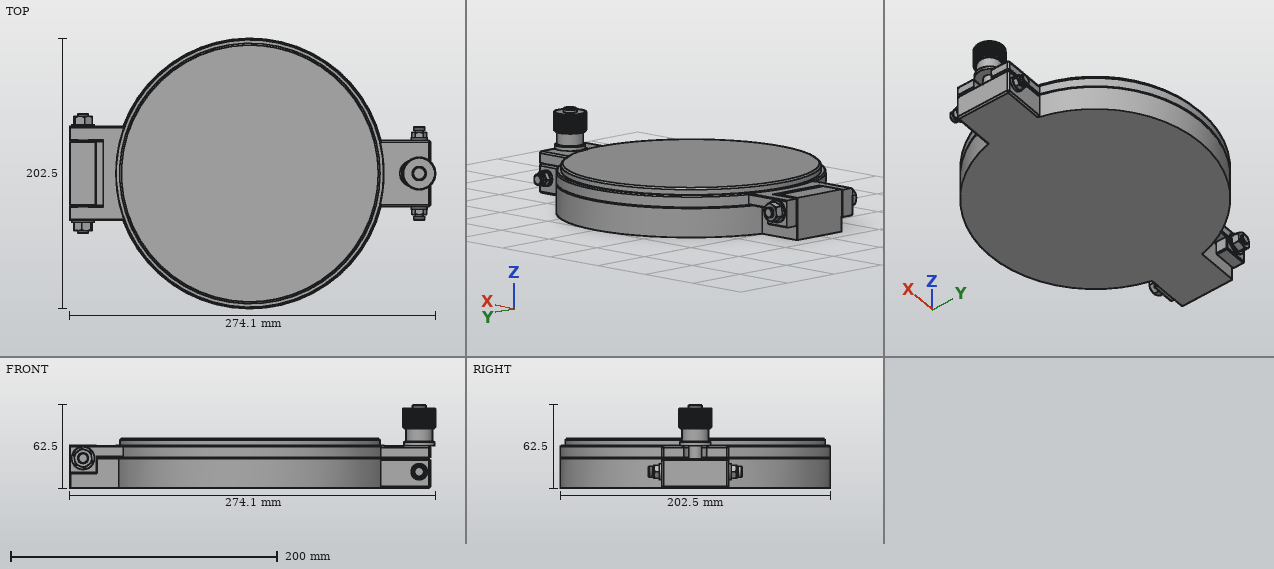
import cadquery as cq
import math

BODY_DIAMETER = 202.5
BODY_RADIUS = BODY_DIAMETER / 2
BODY_TOP = 22.2
SEAL_GAP = 0.8
SEAL_INSET = 1.0
LID_BOTTOM = BODY_TOP + SEAL_GAP
LID_TOP = 31.8
LID_CROWN = 0.3
PLATE_DIAMETER = 195.0
PLATE_TOP = 37.3
PLATE_CHAMFER = 1.5
EDGE_CHAMFER = 1.0

HINGE_END_X = -134.8
HINGE_TOWER_LENGTH = 19.7
HINGE_TOWER_WIDTH = 48.2
HINGE_TOWER_TOP = 32.3
HINGE_ARM_WIDTH = 70.5
HINGE_SLOT_WIDTH = 50.0
HINGE_SLOT_LENGTH = 25.0
EAR_LENGTH = 20.5
EAR_BOTTOM = 11.0
EAR_CHAMFER = 0.8
TOWER_CHAMFER = 0.5
HINGE_PIN_X = -125.0
HINGE_PIN_Z = 22.5
HINGE_PIN_DIAMETER = 8.0
HINGE_WASHER_DIAMETER = 17.0
HINGE_NUT_CORNERS = 14.8
HINGE_NUT_TURN = 39.0

LATCH_END_X = 135.4
LATCH_WIDTH = 50.0
LATCH_CHAMFER = 1.5
LATCH_X = 126.9
LATCH_PIN_Z = 12.3
LATCH_WASHER_DIAMETER = 12.0
LATCH_NUT_CORNERS = 11.5
LATCH_PIN_NECK_DIAMETER = 6.0
LATCH_PIN_TIP_DIAMETER = 8.5
BOLT_SLOT_WIDTH = 17.0
BOLT_SLOT_END_X = 122.2

SWING_BOLT_DIAMETER = 10.0
FLANGE_DIAMETER = 23.0
FLANGE_RIM_TOP = 34.5
FLANGE_TOP = 35.3
COLLAR_DIAMETER = 20.0
KNOB_DIAMETER = 24.7
KNOB_BOTTOM = 44.7
KNOB_TOP = 59.7
KNOB_CHAMFER = 1.5
KNURL_TEETH = 72
KNURL_DEPTH = 0.5
BUTTON_DIAMETER = 10.5
BUTTON_TOP = 62.5

HINGE_WASHER_THICKNESS = 1.5
LATCH_WASHER_THICKNESS = 2.0
HINGE_NUT_THICKNESS = 6.3
HINGE_PIN_PROTRUSION = 2.0
LATCH_NUT_THICKNESS = 4.0
LATCH_NECK_LENGTH = 1.5
LATCH_TIP_LENGTH = 2.7
PIN_CHAMFER = 0.8
HINGE_PIN_CHAMFER = 0.5


def block(x_start, x_end, width, z_bottom, z_top):
    """Box centred on Y = 0."""
    length = x_end - x_start
    return (
        cq.Workplane("XY", origin=(x_start + length / 2, 0, z_bottom))
        .box(length, width, z_top - z_bottom, centered=(True, True, False))
    )


def disc(radius, z_bottom, z_top, x=0):
    """Upright cylinder centred on the X axis."""
    return cq.Workplane("XY", origin=(x, 0, z_bottom)).circle(radius).extrude(z_top - z_bottom)


def rod(diameter, y_start, length):
    """Cylinder along +Y, centred on the Y axis."""
    return cq.Workplane("XZ", origin=(0, y_start, 0)).circle(diameter / 2).extrude(-length)


def hex_nut(corners, y_start, length, turn=0):
    """Hexagon along +Y with its outer corners bevelled; at zero turn a corner points along X."""
    nut = (
        cq.Workplane("XZ", origin=(0, y_start, 0))
        .polygon(6, corners)
        .extrude(-length)
        .rotate((0, 0, 0), (0, 1, 0), turn)
    )
    bevel = rod(corners, y_start, length).faces(">Y").chamfer(PIN_CHAMFER)
    return nut.intersect(bevel)


def both_ends(hardware, x, z):
    """Hardware on the +Y end of a pin, and the same turned half round Z on the -Y end."""
    return hardware.union(hardware.rotate((0, 0, 0), (0, 0, 1), 180)).translate((x, 0, z))


def housing():
    seal_core = disc(BODY_RADIUS - SEAL_INSET, 0, LID_TOP)
    body = disc(BODY_RADIUS, 0, BODY_TOP)
    lid = disc(BODY_RADIUS, LID_BOTTOM, LID_TOP + LID_CROWN).faces(">Z").edges().chamfer(EDGE_CHAMFER)
    plate = disc(PLATE_DIAMETER / 2, LID_TOP, PLATE_TOP).faces(">Z").edges().chamfer(PLATE_CHAMFER)
    return seal_core.union(body).union(lid).union(plate)


def hinge():
    tower_end = HINGE_END_X + HINGE_TOWER_LENGTH
    base = block(tower_end, 0, HINGE_TOWER_WIDTH, 0, BODY_TOP)
    tower = block(HINGE_END_X, tower_end, HINGE_TOWER_WIDTH, 0, HINGE_TOWER_TOP)
    tower = tower.edges("(|X and >Z) or (>X and >Z) or (|Z and <X)").chamfer(TOWER_CHAMFER)

    arm = block(HINGE_END_X, 0, HINGE_ARM_WIDTH, LID_BOTTOM, LID_TOP)
    ears = block(HINGE_END_X, HINGE_END_X + EAR_LENGTH, HINGE_ARM_WIDTH, EAR_BOTTOM, LID_TOP)
    ears = ears.edges("|Y and >X and <Z").chamfer(EAR_CHAMFER)
    slot = block(HINGE_END_X, HINGE_END_X + HINGE_SLOT_LENGTH, HINGE_SLOT_WIDTH, 0, LID_TOP)
    arm = arm.union(ears).faces(">Y or <Y").edges("not <X").chamfer(EAR_CHAMFER).cut(slot)

    ear_face = HINGE_ARM_WIDTH / 2
    nut_start = ear_face + HINGE_WASHER_THICKNESS
    pin_end = nut_start + HINGE_NUT_THICKNESS + HINGE_PIN_PROTRUSION
    hardware = (
        rod(HINGE_PIN_DIAMETER, 0, pin_end).faces(">Y").chamfer(HINGE_PIN_CHAMFER)
        .union(rod(HINGE_WASHER_DIAMETER, ear_face, HINGE_WASHER_THICKNESS))
        .union(hex_nut(HINGE_NUT_CORNERS, nut_start, HINGE_NUT_THICKNESS, HINGE_NUT_TURN))
    )
    nuts = both_ends(hardware, HINGE_PIN_X, HINGE_PIN_Z)
    return base.union(tower).union(arm).union(nuts)


def slot_outline(z):
    """Round-ended slot for the swing bolt, running out past the end of the latch."""
    half_width = BOLT_SLOT_WIDTH / 2
    open_end = LATCH_END_X + half_width
    return (
        cq.Workplane("XY", origin=(0, 0, z))
        .moveTo(open_end, -half_width)
        .lineTo(open_end, half_width)
        .lineTo(BOLT_SLOT_END_X, half_width)
        .threePointArc((BOLT_SLOT_END_X - half_width, 0), (BOLT_SLOT_END_X, -half_width))
        .close()
    )


def latch():
    lower = block(0, LATCH_END_X, LATCH_WIDTH, 0, BODY_TOP)
    upper = block(0, LATCH_END_X, LATCH_WIDTH, LID_BOTTOM, LID_TOP)
    lower = lower.edges("|X or >X").chamfer(LATCH_CHAMFER)
    upper = upper.edges("(|X and >Z) or (>X and (not <Z))").chamfer(LATCH_CHAMFER)
    bolt_slot = slot_outline(LID_BOTTOM).extrude(LID_TOP - LID_BOTTOM)
    slot_mouth = slot_outline(LID_TOP - LATCH_CHAMFER).extrude(LATCH_CHAMFER, taper=-45)
    upper = upper.cut(bolt_slot).cut(slot_mouth)

    nut_start = LATCH_WIDTH / 2 + LATCH_WASHER_THICKNESS
    neck_start = nut_start + LATCH_NUT_THICKNESS
    tip_start = neck_start + LATCH_NECK_LENGTH
    hardware = (
        rod(LATCH_WASHER_DIAMETER, LATCH_WIDTH / 2, LATCH_WASHER_THICKNESS)
        .union(hex_nut(LATCH_NUT_CORNERS, nut_start, LATCH_NUT_THICKNESS))
        .union(rod(LATCH_PIN_NECK_DIAMETER, neck_start, LATCH_NECK_LENGTH))
        .union(rod(LATCH_PIN_TIP_DIAMETER, tip_start, LATCH_TIP_LENGTH).faces(">Y").chamfer(PIN_CHAMFER))
    )
    nuts = both_ends(hardware, LATCH_X, LATCH_PIN_Z)
    return lower.union(upper).union(nuts)


def knurled_grip():
    """Straight-knurled cylinder with bevelled ends."""
    crest = KNOB_DIAMETER / 2
    root = crest - KNURL_DEPTH
    outline = []
    for i in range(2 * KNURL_TEETH):
        radius = crest if i % 2 == 0 else root
        angle = math.pi * i / KNURL_TEETH
        outline.append((radius * math.cos(angle), radius * math.sin(angle)))
    height = KNOB_TOP - KNOB_BOTTOM
    teeth = cq.Workplane("XY", origin=(0, 0, KNOB_BOTTOM)).polyline(outline).close().extrude(height)
    bevel = disc(crest, KNOB_BOTTOM, KNOB_TOP)
    bevel = bevel.faces("<Z").chamfer(KNOB_CHAMFER).faces(">Z").chamfer(KNURL_DEPTH)
    return teeth.intersect(bevel).translate((LATCH_X, 0, 0))


def knob():
    flange = disc(FLANGE_DIAMETER / 2, LID_TOP, FLANGE_TOP, LATCH_X)
    ledge = (FLANGE_DIAMETER - COLLAR_DIAMETER) / 2
    flange = flange.faces(">Z").chamfer(FLANGE_TOP - FLANGE_RIM_TOP, ledge)
    button = disc(BUTTON_DIAMETER / 2, KNOB_TOP, BUTTON_TOP, LATCH_X).faces(">Z").chamfer(PIN_CHAMFER)
    return (
        disc(SWING_BOLT_DIAMETER / 2, LATCH_PIN_Z, FLANGE_TOP, LATCH_X)
        .union(flange)
        .union(disc(COLLAR_DIAMETER / 2, FLANGE_RIM_TOP, KNOB_BOTTOM, LATCH_X))
        .union(knurled_grip())
        .union(button)
    )


result = housing().union(hinge()).union(latch()).union(knob())